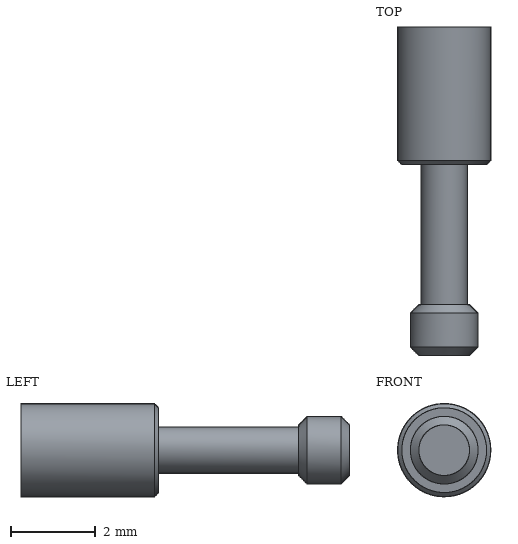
import cadquery as cq

total_length = 7.75

body_diameter = 2.2
body_length = 3.25
body_chamfer = 0.1

shank_diameter = 1.1

head_diameter = 1.6
head_length = 1.2
head_chamfer = 0.2

shank_length = total_length - body_length - head_length


def cylinder_along_y(diameter, start, length):
    """Solid cylinder on the Y axis, from Y = start towards +Y."""
    return cq.Workplane("XZ").workplane(offset=-start).circle(diameter / 2).extrude(-length)


head = cylinder_along_y(head_diameter, 0, head_length).edges().chamfer(head_chamfer)

shank = cylinder_along_y(shank_diameter, head_length, shank_length)

body_start = head_length + shank_length
body = cylinder_along_y(body_diameter, body_start, body_length).faces("<Y").edges().chamfer(body_chamfer)

result = head.union(shank).union(body)